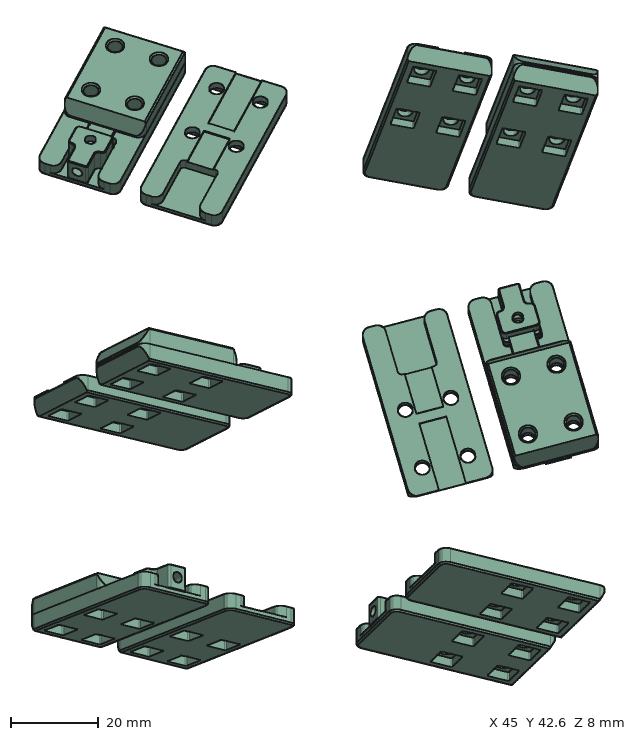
import cadquery as cq
PLATE_WIDTH = 20.0
PLATE_LENGTH = 42.2
BASE_SPACING = 25.0
BASE_HEIGHT = 4.0
TOTAL_HEIGHT = 8.0
CORNER_RADIUS = 2.0
EDGE_CHAMFER = 0.4
BASE_COUNT = 2

END_LIP = 0.5
END_SLOPE = 2.0

SLOT_WIDTH = 9.22
SLOT_LENGTH = 13.1
SLOT_FLOOR = 1.4
SLOT_CORNER_RADIUS = 1.0

GROOVE_WIDTH = 6.4
GROOVE_DEPTH = 0.35
FRONT_GROOVE_END = 23.05
REAR_GROOVE_START = 25.5

HOLE_DIAMETER = 3.4
HOLE_COUNTERSINK = 4.25
COUNTERSINK_ANGLE = 90
HOLE_SPACING_X = 10.8
HOLE_SPACING_Y = 14.5
HOLE_CENTER_Y = 28.7
NUT_WIDTH = 5.5
NUT_DEPTH = 2.25
NUT_CORNER_RADIUS = 0.3

COVER_LENGTH = 27.0

STRIP_WIDTH = 6.0
STRIP_THICKNESS = 0.55
STRIP_OVERHANG = 0.4

KNOB_TOP = 7.25
KNOB_LENGTH = 11.0
KNOB_LEDGE_LENGTH = 1.0
KNOB_HEAD_WIDTH = 9.1
KNOB_STEM_WIDTH = 5.0
KNOB_SHOULDER_Y = 5.3
KNOB_RADIUS = 1.0
KNOB_NOSE_RADIUS = 0.5
KNOB_CHAMFER = 0.2
KNOB_HOLE_DIAMETER = 2.5
KNOB_HOLE_Y = 8.0
KNOB_HOLE_Z = 4.45
TONGUE_START = 9.25
POCKET_BACK = 10.15
POCKET_TOP = 5.25

CENTER_X = PLATE_WIDTH / 2
COVER_START = PLATE_LENGTH - COVER_LENGTH
STRIP_BOTTOM = BASE_HEIGHT - GROOVE_DEPTH
STRIP_TOP = STRIP_BOTTOM + STRIP_THICKNESS


def block(width, start_y, end_y, bottom, top):
    """Box centred across the plate, between two Y and two Z positions."""
    box = cq.Workplane("XY").box(width, end_y - start_y, top - bottom, centered=(True, False, False))
    return box.translate((CENTER_X, start_y, bottom))


def side_prism(points):
    """Plate-wide prism of a Y-Z outline."""
    return cq.Workplane("YZ").polyline(points).close().extrude(PLATE_WIDTH)


def screw_points(body):
    """The four screw positions on the top face of a body."""
    return (
        body.faces(">Z")
        .workplane(origin=(CENTER_X, HOLE_CENTER_Y, 0))
        .rarray(HOLE_SPACING_X, HOLE_SPACING_Y, 2, 2)
    )


def nut_pockets():
    """Square pockets with rounded corners, rising from the underside."""
    return (
        cq.Workplane("XY")
        .center(CENTER_X, HOLE_CENTER_Y)
        .rarray(HOLE_SPACING_X, HOLE_SPACING_Y, 2, 2)
        .rect(NUT_WIDTH, NUT_WIDTH)
        .extrude(NUT_DEPTH)
        .edges("|Z")
        .fillet(NUT_CORNER_RADIUS)
    )


def make_base():
    base = block(PLATE_WIDTH, 0, PLATE_LENGTH, 0, BASE_HEIGHT)
    base = base.edges("|Z").fillet(CORNER_RADIUS)
    base = base.faces("<Z").edges().chamfer(EDGE_CHAMFER)

    rear_profile = [
        (0, 0),
        (PLATE_LENGTH - END_SLOPE, 0),
        (PLATE_LENGTH, BASE_HEIGHT - END_LIP),
        (PLATE_LENGTH, BASE_HEIGHT),
        (0, BASE_HEIGHT),
    ]
    base = base.intersect(side_prism(rear_profile))

    slot = block(SLOT_WIDTH, -SLOT_LENGTH, SLOT_LENGTH, SLOT_FLOOR, BASE_HEIGHT)
    base = base.cut(slot.edges("|Z and >Y").fillet(SLOT_CORNER_RADIUS))
    mouth = cq.selectors.BoxSelector(
        (CENTER_X - SLOT_WIDTH, -0.45, SLOT_FLOOR), (CENTER_X + SLOT_WIDTH, 0.45, BASE_HEIGHT)
    )
    base = base.edges("|Z").edges(mouth).fillet(CORNER_RADIUS)

    base = base.cut(block(GROOVE_WIDTH, 0, FRONT_GROOVE_END, STRIP_BOTTOM, BASE_HEIGHT))
    base = base.cut(block(GROOVE_WIDTH, REAR_GROOVE_START, PLATE_LENGTH, STRIP_BOTTOM, BASE_HEIGHT))

    base = screw_points(base).hole(HOLE_DIAMETER)
    return base.cut(nut_pockets())


def make_cover():
    cover = block(PLATE_WIDTH, COVER_START, PLATE_LENGTH, BASE_HEIGHT, TOTAL_HEIGHT)
    cover = cover.edges("|Z").fillet(CORNER_RADIUS)
    profile = [
        (COVER_START, BASE_HEIGHT),
        (COVER_START, BASE_HEIGHT + END_LIP),
        (COVER_START + END_SLOPE, TOTAL_HEIGHT),
        (PLATE_LENGTH - END_SLOPE, TOTAL_HEIGHT),
        (PLATE_LENGTH, BASE_HEIGHT + END_LIP),
        (PLATE_LENGTH, BASE_HEIGHT),
    ]
    cover = cover.intersect(side_prism(profile))
    cover = cover.faces(">Z").edges("|Y").chamfer(EDGE_CHAMFER)
    cover = screw_points(cover).cskHole(HOLE_DIAMETER, HOLE_COUNTERSINK, COUNTERSINK_ANGLE)

    return cover.cut(block(STRIP_WIDTH, COVER_START, PLATE_LENGTH, BASE_HEIGHT, STRIP_TOP))


def make_strip(start_y, end_y):
    return block(STRIP_WIDTH, start_y, end_y, STRIP_BOTTOM, STRIP_TOP)


def make_knob():
    head = block(KNOB_HEAD_WIDTH, KNOB_SHOULDER_Y, KNOB_LENGTH, SLOT_FLOOR, KNOB_TOP)
    stem = block(KNOB_STEM_WIDTH, 0, KNOB_LENGTH, SLOT_FLOOR, KNOB_TOP)
    knob = head.union(stem).clean()
    knob = knob.edges("|Z and <Y").fillet(KNOB_NOSE_RADIUS)
    head_zone = cq.selectors.BoxSelector(
        (0, KNOB_SHOULDER_Y / 2, 0), (PLATE_WIDTH, PLATE_LENGTH, TOTAL_HEIGHT)
    )
    knob = knob.edges("|Z").edges(head_zone).fillet(KNOB_RADIUS)
    knob = knob.faces("<Z or >Z").edges().chamfer(KNOB_CHAMFER)

    ledge_end = KNOB_LENGTH + KNOB_LEDGE_LENGTH
    ledge = block(KNOB_HEAD_WIDTH, KNOB_HOLE_Y, ledge_end, SLOT_FLOOR, STRIP_BOTTOM)
    ledge = ledge.edges("|Z and >Y").fillet(KNOB_RADIUS)
    knob = knob.union(ledge.faces("<Z or >Z").edges().chamfer(KNOB_CHAMFER))

    bore = cq.Workplane("XY").center(CENTER_X, KNOB_HOLE_Y).circle(KNOB_HOLE_DIAMETER / 2)
    knob = knob.cut(bore.extrude(TOTAL_HEIGHT))
    front_bore = cq.Workplane("XZ").center(CENTER_X, KNOB_HOLE_Z).circle(KNOB_HOLE_DIAMETER / 2)
    knob = knob.cut(front_bore.extrude(-KNOB_HOLE_Y))

    knob = knob.cut(block(STRIP_WIDTH, KNOB_HOLE_Y, POCKET_BACK, STRIP_BOTTOM, POCKET_TOP))
    return knob.cut(block(STRIP_WIDTH, TONGUE_START, KNOB_LENGTH, STRIP_BOTTOM, STRIP_TOP))


bases = [make_base().translate((i * BASE_SPACING, 0, 0)) for i in range(BASE_COUNT)]
cover = make_cover()
rear_strip = make_strip(REAR_GROOVE_START, PLATE_LENGTH + STRIP_OVERHANG)
front_strip = make_strip(TONGUE_START, FRONT_GROOVE_END)
knob = make_knob()

result = cq.Compound.makeCompound(
    [base.val() for base in bases]
    + [cover.val(), rear_strip.val(), front_strip.val(), knob.val()]
)